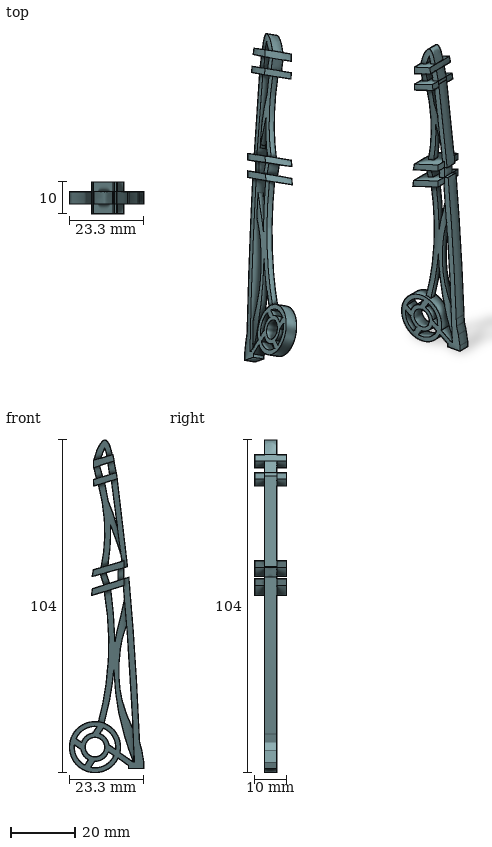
import cadquery as cq
import math


DECK_DEPTH = 10.0
FRAME_DEPTH = 4.0
LATTICE_DEPTH = 2.0

RING_RADIUS = 8.0
RIM_INNER_RADIUS = 6.5
HUB_RADIUS = 4.5
BORE_DIAMETER = 6.0
SPOKE_WIDTH = 2.0
FIRST_SPOKE_ANGLE = -34
SPOKE_OFFSETS = [2.1, 2.1, 2.1, 1.5]

TOTAL_HEIGHT = 104.0
TIP_Z = TOTAL_HEIGHT - RING_RADIUS
FOOT_Z = -6.8
FOOT_RIGHT_X = 15.3

DECK_RIGHT_X = 9.0
HIGH_TIP_DECK = [(-0.5, 89.7), (5.6, 91.5), (6.0, 89.5), (-0.5, 87.3)]
LOW_TIP_DECK = [(-0.5, 83.6), (6.7, 85.8), (7.0, 83.9), (-0.4, 81.6)]
HIGH_MID_DECK = [(-0.5, 55.5), (DECK_RIGHT_X, 58.3), (DECK_RIGHT_X, 56.1), (-0.9, 53.3)]
LOW_MID_DECK = [(-0.8, 49.5), (DECK_RIGHT_X, 52.6), (DECK_RIGHT_X, 50.5), (-1.1, 47.3)]
LOW_MID_DECK_TOP = (LOW_MID_DECK[0], LOW_MID_DECK[1])


def height_on_line(start, end, x):
    """Height at x of the straight line through two points."""
    slope = (end[1] - start[1]) / (end[0] - start[0])
    return start[1] + slope * (x - start[0])


def prism(outline, depth):
    """Extrude a closed XZ outline so that it is centred on Y = 0."""
    return outline.extrude(depth).translate((0, depth / 2, 0))


def polygon(points, depth):
    return prism(cq.Workplane("XZ").polyline(points).close(), depth)


def band(first_edge, second_edge, depth):
    """Strip between two smooth edges, both listed from top to bottom."""
    outline = (
        cq.Workplane("XZ")
        .moveTo(*first_edge[0])
        .spline(first_edge[1:], includeCurrent=True)
        .lineTo(*second_edge[-1])
        .spline(second_edge[-2::-1], includeCurrent=True)
        .close()
    )
    return prism(outline, depth)


def deck(corners):
    return polygon(corners, DECK_DEPTH)




def tip_frame():
    """Pointed arch whose sides run down into the lower tip deck."""
    arch = [(0.6, 92.9), (2.0, 95.2), (3.1, TIP_Z), (4.3, 95.0), (5.2, 92.2), (5.6, 90.9)]
    outline = (
        cq.Workplane("XZ")
        .moveTo(0.5, 83.4)
        .lineTo(-0.4, 87.6)
        .lineTo(-0.3, 89.9)
        .spline(arch, includeCurrent=True)
        .lineTo(6.9, 84.8)
        .close()
    )
    opening = [(1.2, 88.9), (3.0, 93.4), (3.5, 91.9), (4.8, 83.4), (2.7, 83.4)]
    return prism(outline, FRAME_DEPTH).cut(polygon(opening, FRAME_DEPTH))


def upper_bar():
    """Outer bar, cut off at its lower end by the underside of the mid deck."""
    outer_x = 10.2
    inner_x = 8.4
    underside = (HIGH_MID_DECK[3], HIGH_MID_DECK[2])
    return polygon(
        [
            (5.0, 84.1),
            (6.9, 84.8),
            (outer_x, height_on_line(*underside, outer_x)),
            (inner_x, height_on_line(*underside, inner_x)),
            (inner_x, 57.7),
        ],
        FRAME_DEPTH,
    )


def upper_lattice():
    """Bowed strand and the branch that crosses from it to the outer bar."""
    strand = band(
        [(0.9, 82.4), (2.4, 75.5), (3.0, 67.9), (1.8, 55.7)],
        [(3.0, 82.8), (4.2, 76.9), (4.9, 67.9), (4.0, 56.1)],
        LATTICE_DEPTH,
    )
    branch = band(
        [(4.2, 76.9), (5.6, 73.1), (6.9, 69.2), (7.9, 62.4)],
        [(3.1, 74.9), (5.0, 69.0), (6.5, 65.0), (8.0, 60.3)],
        LATTICE_DEPTH,
    )
    return strand.union(branch)


def legs():
    """Two legs from inside the upper mid deck down onto the top of the lower one."""

    def leg(top_left, top_right, bottom_left_x, bottom_right_x):
        bottom_left = (bottom_left_x, height_on_line(*LOW_MID_DECK_TOP, bottom_left_x))
        bottom_right = (bottom_right_x, height_on_line(*LOW_MID_DECK_TOP, bottom_right_x))
        return polygon([top_left, top_right, bottom_right, bottom_left], FRAME_DEPTH)

    upright_left_x = 7.2
    slanted_leg = leg((1.6, 54.3), (3.3, 54.8), 2.7, 4.6)
    upright_leg = leg((upright_left_x, 56.2), (DECK_RIGHT_X, 56.7), upright_left_x, DECK_RIGHT_X)
    return slanted_leg.union(upright_leg)


def make_upper_body():
    body = tip_frame().union(upper_bar()).union(upper_lattice()).union(legs())
    for corners in (HIGH_TIP_DECK, LOW_TIP_DECK, HIGH_MID_DECK):
        body = body.union(deck(corners))
    return body




def lower_bar():
    """Curved outer bar that widens into the foot; its top continues the deck's top plane."""
    top_left_x = 8.8
    top_right_x = 10.6
    inner_foot_x = 12.3
    outline = (
        cq.Workplane("XZ")
        .moveTo(top_left_x, height_on_line(*LOW_MID_DECK_TOP, top_left_x))
        .lineTo(top_right_x, height_on_line(*LOW_MID_DECK_TOP, top_right_x))
        .threePointArc((12.5, 29.1), (13.8, 4.2))
        .lineTo(13.9, 1.7)
        .lineTo(14.7, -1.0)
        .lineTo(FOOT_RIGHT_X, -4.8)
        .lineTo(FOOT_RIGHT_X, FOOT_Z)
        .lineTo(inner_foot_x, FOOT_Z)
        .lineTo(inner_foot_x, -4.7)
        .threePointArc((10.9, 23.9), (top_left_x, 50.1))
        .close()
    )
    return prism(outline, FRAME_DEPTH)


def foot_strut():
    """Strut that carries the ring's lower right spoke on to the foot."""
    top_z = -4.6
    left_x = 10.4
    right_x = 13.0
    return polygon(
        [
            (7.1, -1.2),
            (11.9, top_z),
            (right_x, top_z),
            (right_x, FOOT_Z),
            (left_x, FOOT_Z),
            (left_x, -5.7),
            (6.5, -2.9),
        ],
        FRAME_DEPTH,
    )


def lower_lattice():
    """Two bowed strands that merge where they pass each other."""
    left_strand = band(
        [(2.7, 49.5), (3.6, 43.2), (4.3, 33.3), (3.4, 19.8), (0.9, 7.5)],
        [(4.9, 49.8), (5.6, 43.2), (6.2, 33.3), (5.4, 19.8), (2.8, 7.2)],
        LATTICE_DEPTH,
    )
    right_strand = band(
        [(9.3, 46.6), (7.8, 40.1), (6.5, 34.3), (5.9, 23.4), (7.3, 11.4), (12.0, -4.6)],
        [(10.2, 38.7), (8.4, 33.3), (7.5, 24.5), (8.3, 15.4), (12.0, 5.5), (12.7, 4.1)],
        LATTICE_DEPTH,
    )
    return left_strand.union(right_strand)


def ring():
    """Rim and hub joined by four spokes set off to one side of the centre."""
    rim = cq.Workplane("XZ").circle(RING_RADIUS).circle(RIM_INNER_RADIUS)
    hub = cq.Workplane("XZ").circle(HUB_RADIUS)
    body = prism(rim, FRAME_DEPTH).union(prism(hub, FRAME_DEPTH))
    rim_middle_radius = (RIM_INNER_RADIUS + RING_RADIUS) / 2
    angle_step = 360 / len(SPOKE_OFFSETS)
    for index, offset in enumerate(SPOKE_OFFSETS):
        angle = FIRST_SPOKE_ANGLE + index * angle_step
        spoke_length = math.sqrt(rim_middle_radius**2 - (offset + SPOKE_WIDTH / 2) ** 2)
        spoke = (
            cq.Workplane("XY")
            .box(spoke_length, FRAME_DEPTH, SPOKE_WIDTH)
            .translate((spoke_length / 2, 0, offset))
            .rotate((0, 0, 0), (0, 1, 0), -angle)
        )
        body = body.union(spoke)
    bore = cq.Workplane("XZ").circle(BORE_DIAMETER / 2)
    return body.cut(prism(bore, FRAME_DEPTH))


def make_lower_body():
    body = ring().union(foot_strut()).union(lower_bar())
    return body.union(lower_lattice()).union(deck(LOW_MID_DECK))


upper_body = make_upper_body()
lower_body = make_lower_body()
result = cq.Compound.makeCompound([upper_body.val(), lower_body.val()])